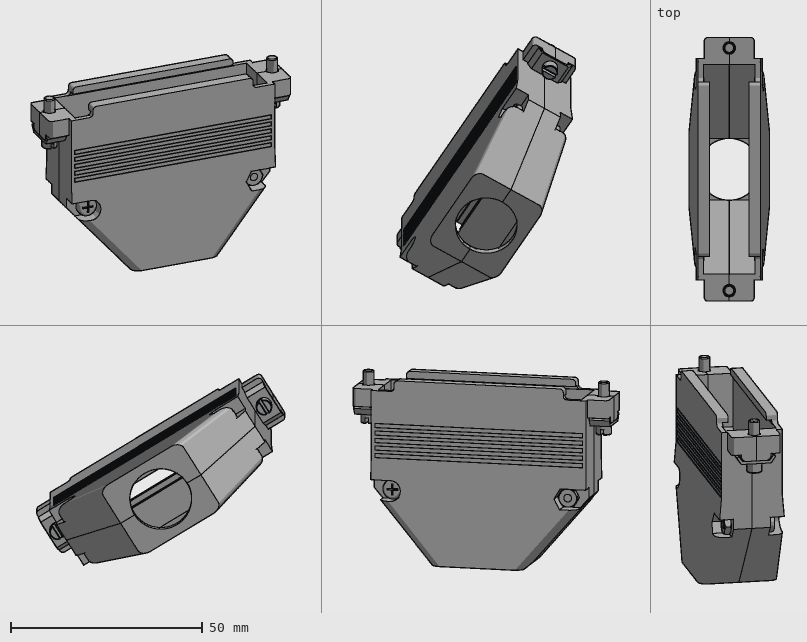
import cadquery as cq
import math


total_length = 68.95
total_height = 49.3

body_length = 58.0
cable_end_length = 24.7
body_half_width = 8.15
cable_end_half_width = 10.55
slope_top_z = 19.2
taper_top_z = 27.7
ledge_z = 45.6
slope_edge_radius = 1.9

cavity_length = 54.75
cavity_half_width = 6.75
floor_thickness = 2.0
cavity_slope_angle = 56.4
cable_hole_radius = 8.1

tab_length = 45.65
tab_top_z = 48.5
tab_corner_radius = 1.0
tab_inner_x = 6.55
lip_bottom_z = 46.55
lip_inner_x = 5.1

flange_half_width = 6.55
flange_bottom_z = 40.75
flange_corner_radius = 0.95
boss_half_width = 3.9
boss_bottom_z = 38.95
boss_radius = 1.3

groove_count = 5
groove_length = 56.0
groove_height = 1.1
groove_pitch = 2.0
groove_depth = 0.2

clamp_y = 23.65
seat_x = 4.9
clamp_shank_radius = 1.0
recess_width = 5.45
head_diameter = 5.3
head_edge_x = 5.9
head_top_x = 6.75
head_flat_radius = 2.1
cross_length = 2.9
cross_width = 0.4
cross_depth = 0.55
nut_across_flats = 4.75
nut_face_x = 6.7
nut_chamfer_height = 0.35

jack_y = 31.7
jack_shank_radius = 1.45
jack_hole_diameter = 3.25
jack_tip_chamfer = 0.3
jack_head_diameter = 4.1
jack_head_bottom_z = 35.4
jack_head_chamfer = 0.2
jack_slot_width = 0.8
jack_slot_depth = 1.5

clip_thickness = 0.75
clip_flat_half_width = 3.6
clip_wing_length = 1.7
clip_wing_angle = 56.0

body_end_y = body_length / 2
flange_length = (total_length - body_length) / 2
cavity_end_y = cavity_length / 2
cavity_slope_rise = (cavity_end_y - cable_hole_radius) * math.tan(math.radians(cavity_slope_angle))
clip_bottom_z = boss_bottom_z - clip_thickness
recess_radius = recess_width / 2
head_radius = head_diameter / 2
jack_hole_radius = jack_hole_diameter / 2
jack_head_radius = jack_head_diameter / 2
axis_tolerance = 0.01


def block(x_range, y_range, z_range):
    """Axis-aligned box given by its limits along each axis."""
    size = [high - low for low, high in (x_range, y_range, z_range)]
    return cq.Workplane("XY").box(*size, centered=False).translate((x_range[0], y_range[0], z_range[0]))


def turn_half(body):
    """Copy of a body turned half a revolution about the Z axis."""
    return body.rotate((0, 0, 0), (0, 0, 1), 180)


def mirrored_outline(right_points):
    """Closed outline from the points of its right half and their mirror images."""
    left_points = [(-across, up) for across, up in reversed(right_points)]
    return right_points + left_points


def is_slope_edge(edge):
    """True for the long edges between a slope and a flared side face."""
    direction = edge.tangentAt(0.5)
    smallest_component = min(abs(direction.x), abs(direction.y), abs(direction.z))
    return smallest_component > axis_tolerance


def outer_body():
    """Solid hood shape: the side outline crossed with the flared end outline."""
    side_points = [
        (cable_end_length / 2, 0),
        (body_end_y, slope_top_z),
        (body_end_y, ledge_z),
    ]
    end_points = [
        (cable_end_half_width, 0),
        (body_half_width, taper_top_z),
        (body_half_width, ledge_z),
    ]
    side = cq.Workplane("YZ").polyline(mirrored_outline(side_points)).close()
    side = side.extrude(cable_end_half_width, both=True)
    end = cq.Workplane("XZ").polyline(mirrored_outline(end_points)).close()
    end = end.extrude(body_end_y, both=True)
    body = side.intersect(end)
    return body.edges().filter(is_slope_edge).fillet(slope_edge_radius)


def flange():
    """End flange on the +Y end with the rounded boss that seats the clip."""
    y_range = (body_end_y, total_length / 2)
    plate = block((-flange_half_width, flange_half_width), y_range, (flange_bottom_z, ledge_z))
    plate = plate.edges("|Z and >Y").fillet(flange_corner_radius)
    boss = block((-boss_half_width, boss_half_width), y_range, (boss_bottom_z, flange_bottom_z))
    boss = boss.edges("|Y and <Z").fillet(boss_radius)
    hole = cq.Workplane("XY", origin=(0, jack_y, boss_bottom_z)).circle(jack_hole_radius)
    return plate.union(boss).cut(hole.extrude(ledge_z - boss_bottom_z))


def cavity():
    """Inner space: straight above, narrowing to the cable hole in the floor."""
    points = [
        (cable_hole_radius, floor_thickness),
        (cavity_end_y, floor_thickness + cavity_slope_rise),
        (cavity_end_y, ledge_z),
    ]
    space = cq.Workplane("YZ").polyline(mirrored_outline(points)).close()
    space = space.extrude(cavity_half_width, both=True)
    cable_hole = cq.Workplane("XY").circle(cable_hole_radius).extrude(floor_thickness)
    return space.union(cable_hole)


def side_tab():
    """Tab on top of the -X wall, with rounded ends and a lip over the cavity."""
    end_y = tab_length / 2
    diagonal = tab_corner_radius * (1 - math.sqrt(0.5))
    low, high = ledge_z, tab_top_z
    tab = (
        cq.Workplane("YZ", origin=(-body_half_width, 0, 0))
        .moveTo(-end_y - tab_corner_radius, low)
        .threePointArc((-end_y - diagonal, low + diagonal), (-end_y, low + tab_corner_radius))
        .lineTo(-end_y, high - tab_corner_radius)
        .threePointArc((-end_y + diagonal, high - diagonal), (-end_y + tab_corner_radius, high))
        .lineTo(end_y - tab_corner_radius, high)
        .threePointArc((end_y - diagonal, high - diagonal), (end_y, high - tab_corner_radius))
        .lineTo(end_y, low + tab_corner_radius)
        .threePointArc((end_y + diagonal, low + diagonal), (end_y + tab_corner_radius, low))
        .close()
        .extrude(body_half_width - lip_inner_x)
    )
    undercut = block((-tab_inner_x, 0), (-body_end_y, body_end_y), (ledge_z, lip_bottom_z))
    return tab.cut(undercut)


def grip_grooves():
    """Row of shallow grooves in the -X side face."""
    grooves = cq.Workplane("XY")
    for index in range(groove_count):
        bottom_z = taper_top_z + index * groove_pitch
        grooves = grooves.union(
            block(
                (-body_half_width, -body_half_width + groove_depth),
                (-groove_length / 2, groove_length / 2),
                (bottom_z, bottom_z + groove_height),
            )
        )
    return grooves


def clamp_recess(outline):
    """Recess in the -X face at +Y, running from the outline out through the end wall."""
    depth = cable_end_half_width - seat_x
    pocket = outline.extrude(depth)
    outlet = block(
        (-cable_end_half_width, -seat_x),
        (clamp_y, body_end_y),
        (slope_top_z - recess_radius, slope_top_z + recess_radius),
    )
    return pocket.union(outlet)


def recess_plane():
    """Sketch plane outside the -X side, centred on the +Y clamping screw."""
    return cq.Workplane("YZ", origin=(-cable_end_half_width, clamp_y, slope_top_z))


def hexagon(plane, across_flats):
    """Regular hexagon with its flats facing up and down."""
    return plane.polygon(6, across_flats / math.cos(math.pi / 6))


def clamp_hole(y):
    """Screw shank hole between the parting plane and the recess floor of the -X half."""
    hole = cq.Workplane("YZ", origin=(-seat_x, y, slope_top_z)).circle(clamp_shank_radius)
    return hole.extrude(seat_x)


def housing_half():
    """The -X half: screw head recess at +Y, nut pocket at -Y."""
    hood = outer_body().union(flange()).union(turn_half(flange())).cut(cavity())
    negative_side = block(
        (-cable_end_half_width, 0),
        (-total_length / 2, total_length / 2),
        (0, ledge_z),
    )
    half = hood.intersect(negative_side).union(side_tab()).cut(grip_grooves())
    head_recess = clamp_recess(recess_plane().circle(recess_radius))
    nut_pocket = clamp_recess(hexagon(recess_plane(), recess_width)).mirror("XZ")
    half = half.cut(head_recess).cut(nut_pocket)
    return half.cut(clamp_hole(clamp_y)).cut(clamp_hole(-clamp_y))


def clamp_screw():
    """Screw at +Y with its crowned head on the -X side and its tip flush with the nut."""
    crown_bulge = math.sqrt(0.5)
    crown_middle = (
        -head_edge_x - crown_bulge * (head_top_x - head_edge_x),
        head_flat_radius + crown_bulge * (head_radius - head_flat_radius),
    )
    screw = (
        cq.Workplane("XY")
        .moveTo(-head_top_x, 0)
        .lineTo(-head_top_x, head_flat_radius)
        .threePointArc(crown_middle, (-head_edge_x, head_radius))
        .lineTo(-seat_x, head_radius)
        .lineTo(-seat_x, clamp_shank_radius)
        .lineTo(nut_face_x, clamp_shank_radius)
        .lineTo(nut_face_x, 0)
        .close()
        .revolve(360, (0, 0, 0), (1, 0, 0))
    )
    cross = (
        cq.Workplane("YZ", origin=(-head_top_x, 0, 0))
        .rect(cross_length, cross_width)
        .extrude(cross_depth)
        .union(
            cq.Workplane("YZ", origin=(-head_top_x, 0, 0))
            .rect(cross_width, cross_length)
            .extrude(cross_depth)
        )
    )
    return screw.cut(cross).translate((0, clamp_y, slope_top_z))


def clamp_nut():
    """Hexagon nut at +Y on the +X side, its corners chamfered on both faces."""
    thickness = nut_face_x - seat_x
    plane = cq.Workplane("YZ", origin=(seat_x, clamp_y, slope_top_z))
    corner_radius = nut_across_flats / 2 / math.cos(math.pi / 6)
    nut = hexagon(plane, nut_across_flats).extrude(thickness)
    envelope = plane.circle(corner_radius).extrude(thickness).faces("|X").edges()
    envelope = envelope.chamfer(nut_chamfer_height, corner_radius - nut_across_flats / 2)
    return nut.intersect(envelope).cut(plane.circle(clamp_shank_radius).extrude(thickness))


def jack_screw():
    """Slotted cheese-head screw at +Y that stands up through the flange."""
    head = (
        cq.Workplane("XY", origin=(0, jack_y, jack_head_bottom_z))
        .circle(jack_head_radius)
        .extrude(clip_bottom_z - jack_head_bottom_z)
        .faces("<Z")
        .chamfer(jack_head_chamfer)
    )
    shank = (
        cq.Workplane("XY", origin=(0, jack_y, clip_bottom_z))
        .circle(jack_shank_radius)
        .extrude(total_height - clip_bottom_z)
        .faces(">Z")
        .chamfer(jack_tip_chamfer)
    )
    slot = block(
        (-jack_head_radius, jack_head_radius),
        (jack_y - jack_slot_width / 2, jack_y + jack_slot_width / 2),
        (jack_head_bottom_z, jack_head_bottom_z + jack_slot_depth),
    )
    return head.union(shank).cut(slot)


def retaining_clip():
    """Bent strip under the +Y flange: a flat middle with a wing rising on each side."""
    angle = math.radians(clip_wing_angle)
    outer_flat = clip_flat_half_width + clip_thickness * math.tan(angle / 2)
    inner_tip = (
        clip_flat_half_width + clip_wing_length * math.cos(angle),
        boss_bottom_z + clip_wing_length * math.sin(angle),
    )
    outer_tip = (
        inner_tip[0] + clip_thickness * math.sin(angle),
        inner_tip[1] - clip_thickness * math.cos(angle),
    )
    points = [
        (outer_flat, clip_bottom_z),
        outer_tip,
        inner_tip,
        (clip_flat_half_width, boss_bottom_z),
    ]
    strip = cq.Workplane("XZ", origin=(0, total_length / 2, 0)).polyline(mirrored_outline(points)).close()
    strip = strip.extrude(flange_length)
    hole = cq.Workplane("XY", origin=(0, jack_y, clip_bottom_z)).circle(jack_hole_radius)
    return strip.cut(hole.extrude(clip_thickness))


bodies = []
for make_body in (housing_half, clamp_screw, clamp_nut, jack_screw, retaining_clip):
    body = make_body()
    for placed_body in (body, turn_half(body)):
        bodies.extend(placed_body.solids().vals())

result = cq.Compound.makeCompound(bodies)